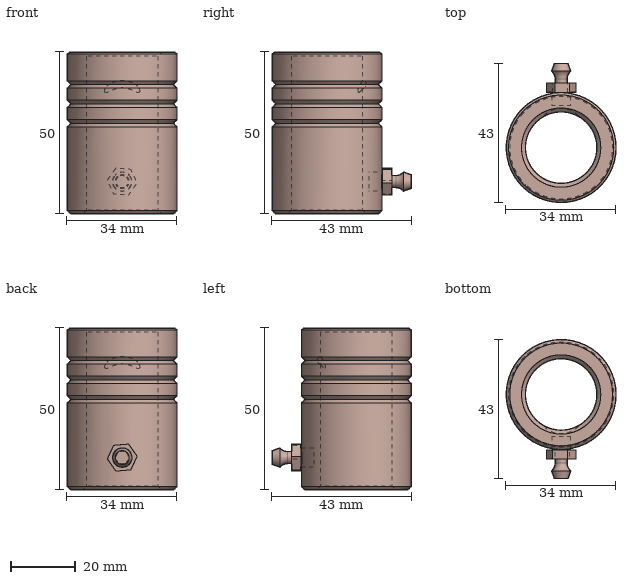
import cadquery as cq
import math

HEIGHT = 50.0
OUTER_RADIUS = 17.0
BORE_RADIUS = 11.0
BORE_CHAMFER = 1.25
TOP_CHAMFER_HEIGHT = 0.6
TOP_CHAMFER_WIDTH = 0.75
BOTTOM_CHAMFER = 1.1

GROOVE_COUNT = 3
FIRST_GROOVE_DROP = 10.0
GROOVE_PITCH = 6.0
GROOVE_HALF_WIDTH = 1.15
GROOVE_DEPTH = 1.15

RECESS_RING_RADIUS = 5.0
RECESS_TUBE_RADIUS = 1.1
RECESS_TILT = 45.0
RECESS_CREST_Z = 40.1

NIPPLE_Z = 10.0
NIPPLE_TIP_Y = 26.0
HEX_ACROSS_FLATS = 8.0
HEX_TURN = -5.0
HEX_GAP = 0.1
HEX_START_Y = OUTER_RADIUS + HEX_GAP
HEX_END_Y = 20.0
STEM_RADIUS = 2.9
STEM_DEPTH = 4.0
STEM_START_Y = OUTER_RADIUS - STEM_DEPTH
NECK_RADIUS = 1.9
NECK_END_Y = 21.25
HEAD_RADIUS = 3.0
HEAD_Y = 23.6
TIP_RADIUS = 2.15


def make_stem(length):
    """Round stem from the bottom of its hole outward along +Y."""
    stem = cq.Workplane("XY").circle(STEM_RADIUS).extrude(length)
    return stem.rotate((0, 0, 0), (1, 0, 0), -90).translate((0, STEM_START_Y, NIPPLE_Z))


def make_v_groove(root_z):
    """Ring with a triangular section that cuts one outside groove."""
    return (
        cq.Workplane("XZ")
        .moveTo(OUTER_RADIUS - GROOVE_DEPTH, root_z)
        .lineTo(OUTER_RADIUS, root_z + GROOVE_HALF_WIDTH)
        .lineTo(OUTER_RADIUS, root_z - GROOVE_HALF_WIDTH)
        .close()
        .revolve(360, (0, 0), (0, 1))
    )


def make_recess_cutter():
    """Tilted torus whose crest runs along the bore wall on the +Y side."""
    tilt = math.radians(RECESS_TILT)
    centre_y = BORE_RADIUS - RECESS_RING_RADIUS * math.cos(tilt)
    centre_z = RECESS_CREST_Z - RECESS_RING_RADIUS * math.sin(tilt)
    torus = cq.Workplane(cq.Solid.makeTorus(RECESS_RING_RADIUS, RECESS_TUBE_RADIUS))
    return torus.rotate((0, 0, 0), (1, 0, 0), RECESS_TILT).translate((0, centre_y, centre_z))


def make_bushing():
    wall = (
        cq.Workplane("XZ")
        .moveTo(BORE_RADIUS + BORE_CHAMFER, 0)
        .lineTo(OUTER_RADIUS - BOTTOM_CHAMFER, 0)
        .lineTo(OUTER_RADIUS, BOTTOM_CHAMFER)
        .lineTo(OUTER_RADIUS, HEIGHT - TOP_CHAMFER_HEIGHT)
        .lineTo(OUTER_RADIUS - TOP_CHAMFER_WIDTH, HEIGHT)
        .lineTo(BORE_RADIUS + BORE_CHAMFER, HEIGHT)
        .lineTo(BORE_RADIUS, HEIGHT - BORE_CHAMFER)
        .lineTo(BORE_RADIUS, BORE_CHAMFER)
        .close()
        .revolve(360, (0, 0), (0, 1))
    )
    for index in range(GROOVE_COUNT):
        wall = wall.cut(make_v_groove(HEIGHT - FIRST_GROOVE_DROP - index * GROOVE_PITCH))
    wall = wall.cut(make_recess_cutter())
    return wall.cut(make_stem(OUTER_RADIUS - STEM_START_Y))


def make_nipple():
    corner_diameter = HEX_ACROSS_FLATS / math.cos(math.radians(30))
    hexagon = (
        cq.Workplane("XZ", origin=(0, HEX_START_Y, NIPPLE_Z))
        .polygon(6, corner_diameter)
        .extrude(HEX_START_Y - HEX_END_Y)
        .rotate((0, 0, NIPPLE_Z), (0, 1, NIPPLE_Z), -HEX_TURN)
    )
    head = (
        cq.Workplane("XY", origin=(0, 0, NIPPLE_Z))
        .moveTo(0, HEX_END_Y)
        .lineTo(NECK_RADIUS, HEX_END_Y)
        .lineTo(NECK_RADIUS, NECK_END_Y)
        .tangentArcPoint((HEAD_RADIUS, HEAD_Y), relative=False)
        .lineTo(TIP_RADIUS, NIPPLE_TIP_Y)
        .lineTo(0, NIPPLE_TIP_Y)
        .close()
        .revolve(360, (0, 0), (0, 1))
    )
    return make_stem(HEX_START_Y - STEM_START_Y).union(hexagon).union(head)


bushing = make_bushing()
nipple = make_nipple()
result = cq.Compound.makeCompound([bushing.solids().val(), nipple.solids().val()])